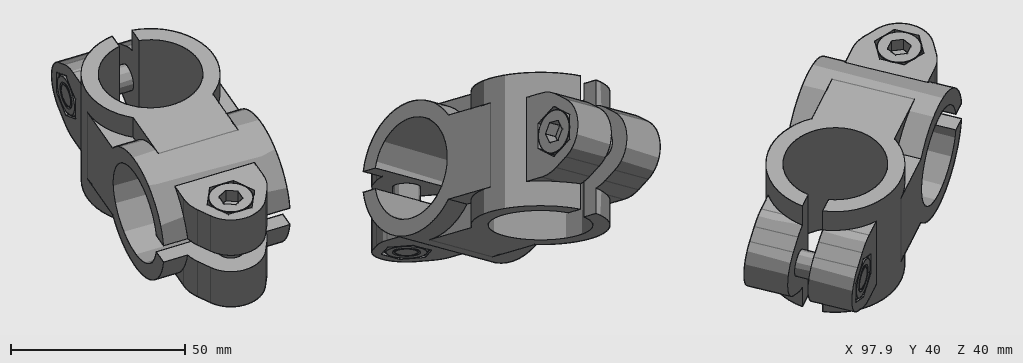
import cadquery as cq
import math

length = 97.9
tube_diameter = 40.0
tube_length = tube_diameter

bore_diameter = 30.1
tube_offset = 16.5
gap_width = 6.2

web_width = 25.2
lug_thickness = 32.9
nose_radius = 10.0
shoulder_radius = 11.9
slope_angle = math.radians(30)
bolt_offset = length / 2 - nose_radius

shank_diameter = 8.0
shank_tip_diameter = 6.7
groove_width = (shank_diameter - shank_tip_diameter) / 2
groove_depth = groove_width / 2
head_diameter = 12.9
head_rim_diameter = 12.6
head_chamfer = (head_diameter - head_rim_diameter) / 2
head_height = 8.0
socket_flats = 6.0
socket_depth = 4.0
hex_corners = 15.0
nut_height = 6.5
nut_face_diameter = 11.85
nut_rim_diameter = 12.6
nut_rim_angle = math.radians(60)
nut_corner_angle = math.radians(15)

front_face = -lug_thickness / 2
back_face = lug_thickness / 2


def along_y(y):
    """Sketch plane facing +Y, centred on the bolt axis, with local X along Z."""
    return cq.Workplane(cq.Plane(origin=(-bolt_offset, y, 0), xDir=(0, 0, 1), normal=(0, 1, 0)))


def opposite_end(shape):
    """Half turn about the diagonal Y = Z: swaps Y with Z and reverses X."""
    return shape.rotate((0, 0, 0), (0, 1, 1), 180)


def lug():
    """Clamping ear at -X: straight sides, shoulder arcs, sloping sides and a round nose."""
    half_width = web_width / 2
    sin_slope = math.sin(slope_angle)
    cos_slope = math.cos(slope_angle)
    shoulder_height = half_width - shoulder_radius
    shoulder_x = bolt_offset + (nose_radius - shoulder_radius - shoulder_height * cos_slope) / sin_slope

    def arc_point(centre_x, centre_z, radius, angle):
        return (-(centre_x + radius * math.sin(angle)), centre_z + radius * math.cos(angle))

    def mirrored(point):
        return (point[0], -point[1])

    shoulder_start = arc_point(shoulder_x, shoulder_height, shoulder_radius, 0)
    shoulder_middle = arc_point(shoulder_x, shoulder_height, shoulder_radius, slope_angle / 2)
    shoulder_end = arc_point(shoulder_x, shoulder_height, shoulder_radius, slope_angle)
    nose_start = arc_point(bolt_offset, 0, nose_radius, slope_angle)

    return (
        cq.Workplane("XZ", origin=(0, back_face, 0))
        .moveTo(-tube_offset, half_width)
        .lineTo(*shoulder_start)
        .threePointArc(shoulder_middle, shoulder_end)
        .lineTo(*nose_start)
        .threePointArc((-length / 2, 0), mirrored(nose_start))
        .lineTo(*mirrored(shoulder_end))
        .threePointArc(mirrored(shoulder_middle), mirrored(shoulder_start))
        .lineTo(-tube_offset, -half_width)
        .close()
        .extrude(lug_thickness)
    )


def tube_cylinder(diameter):
    """Upright cylinder on the axis of the -X tube."""
    return (
        cq.Workplane("XY", origin=(-tube_offset, 0, -tube_length / 2))
        .circle(diameter / 2)
        .extrude(tube_length)
    )


def clamp_blank():
    """Solid -X tube with its lug."""
    return tube_cylinder(tube_diameter).union(lug())


def clamp_openings():
    """Bore, clamping slot and the hexagonal seats for the bolt head and the nut."""
    slot_length = length / 2 - tube_offset
    slot = cq.Workplane("XY").box(slot_length, gap_width, tube_length)
    slot = slot.translate((-tube_offset - slot_length / 2, 0, 0))
    head_seat = along_y(back_face - head_height).polygon(6, hex_corners).extrude(head_height)
    nut_seat = along_y(front_face).polygon(6, hex_corners).extrude(nut_height)
    return tube_cylinder(bore_diameter).union(slot).union(head_seat).union(nut_seat)


def bolt():
    """Socket-head bolt with its head flush at +Y and its tip flush at -Y."""
    shank = along_y(front_face).circle(shank_diameter / 2).extrude(lug_thickness - head_height)
    head = along_y(back_face - head_height).circle(head_diameter / 2).extrude(head_height)
    head = head.faces(">Y").chamfer(head_chamfer)
    socket_corners = socket_flats / math.cos(math.pi / 6)
    socket = (
        along_y(back_face - socket_depth)
        .transformed(rotate=(0, 0, 30))
        .polygon(6, socket_corners)
        .extrude(socket_depth)
    )
    return shank.union(head).cut(socket)


def turned_about_bolt(profile):
    """Solid turned about the bolt axis from (radius, Y) points."""
    return (
        cq.Workplane("XY")
        .polyline(profile)
        .close()
        .revolve(360, (0, 0, 0), (0, 1, 0))
        .translate((-bolt_offset, 0, 0))
    )


def nut():
    """Hexagonal nut flush at -Y, with a double bevel from its round face to its corners."""
    corner_radius = hex_corners / 2
    face_radius = nut_face_diameter / 2
    rim_radius = nut_rim_diameter / 2
    rim_y = front_face + (rim_radius - face_radius) * math.tan(nut_rim_angle)
    corner_y = rim_y + (corner_radius - rim_radius) * math.tan(nut_corner_angle)
    blank = along_y(front_face).polygon(6, hex_corners).extrude(nut_height)
    return blank.intersect(turned_about_bolt([
        (0, front_face),
        (face_radius, front_face),
        (rim_radius, rim_y),
        (corner_radius, corner_y),
        (corner_radius, front_face + nut_height),
        (0, front_face + nut_height),
    ]))


def tip_groove():
    """V-shaped ring where the bolt tip chamfer meets the countersink of the nut."""
    inner_radius = shank_tip_diameter / 2
    return turned_about_bolt([
        (inner_radius, front_face),
        (inner_radius + groove_width / 2, front_face + groove_depth),
        (inner_radius + groove_width, front_face),
    ])


web = (
    cq.Workplane("XY").box(2 * tube_offset, web_width, tube_length)
    .union(cq.Workplane("XY").box(2 * tube_offset, tube_length, web_width))
)

left_blank = clamp_blank()
left_openings = clamp_openings()
left_fastener = nut().union(bolt()).cut(tip_groove())

body = web.union(left_blank).union(opposite_end(left_blank))
body = body.cut(left_openings).cut(opposite_end(left_openings))

result = body.union(left_fastener).union(opposite_end(left_fastener))